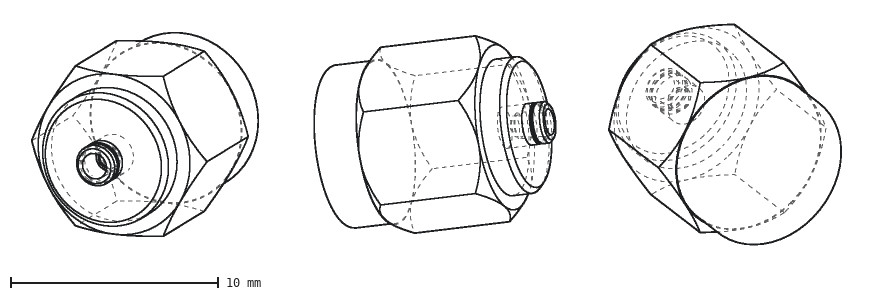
import cadquery as cq
import math


contact_radius = 1.0
contact_protrusion = 1.05
tip_chamfer = 0.14
groove_start = 0.48
groove_width = 0.17
groove_depth = 0.06
groove_floor_width = 0.06
bore_radius = 0.63
bore_depth = 1.6
pilot_radius = 0.52
pilot_depth = 0.16
drill_point_angle = 118.0

collar_radius = 3.31
collar_length = 1.27
collar_chamfer = 0.26

hex_across_flats = 8.0
hex_length = 6.11
barrel_radius = 3.95
barrel_edge_radius = 0.24
overall_length = 10.69

collar_front = contact_protrusion
hex_front = collar_front + collar_length
hex_back = hex_front + hex_length
hex_corner_diameter = hex_across_flats / math.cos(math.pi / 6)


def revolve_about_y(profile):
    """Revolve a closed XY profile, drawn as radius against Y, about the Y axis."""
    return profile.close().revolve(360, (0, 0, 0), (0, 1, 0))


def cylinder_along_y(radius, start, end):
    return cq.Workplane("XZ", origin=(0, start, 0)).circle(radius).extrude(start - end)


def make_contact():
    """Grooved socket with a stepped bore that ends in a drill point."""
    groove_end = groove_start + groove_width
    groove_slope = (groove_width - groove_floor_width) / 2
    groove_radius = contact_radius - groove_depth
    pilot_end = bore_depth + pilot_depth
    drill_apex = pilot_end + pilot_radius / math.tan(math.radians(drill_point_angle / 2))
    profile = (
        cq.Workplane("XY")
        .moveTo(bore_radius, 0)
        .lineTo(contact_radius - tip_chamfer, 0)
        .lineTo(contact_radius, tip_chamfer)
        .lineTo(contact_radius, groove_start)
        .lineTo(groove_radius, groove_start + groove_slope)
        .lineTo(groove_radius, groove_end - groove_slope)
        .lineTo(contact_radius, groove_end)
        .lineTo(contact_radius, hex_front)
        .lineTo(0, hex_front)
        .lineTo(0, drill_apex)
        .lineTo(pilot_radius, pilot_end)
        .lineTo(pilot_radius, bore_depth)
        .lineTo(bore_radius, bore_depth)
    )
    return revolve_about_y(profile)


def make_collar():
    """Ring around the contact, chamfered at its front outer edge."""
    ring = cylinder_along_y(collar_radius, collar_front, hex_front)
    ring = ring.faces("<Y").chamfer(collar_chamfer)
    return ring.cut(cylinder_along_y(contact_radius, collar_front, hex_front))


def make_nut():
    """Hexagon with 45 degree corner chamfers at both ends and a round barrel behind it."""
    hexagon = (
        cq.Workplane("XZ", origin=(0, hex_front, 0))
        .polygon(6, hex_corner_diameter)
        .extrude(-hex_length)
    )
    face_radius = hex_across_flats / 2
    corner_radius = hex_corner_diameter / 2
    corner_drop = corner_radius - face_radius
    corner_envelope = revolve_about_y(
        cq.Workplane("XY")
        .moveTo(0, hex_front)
        .lineTo(face_radius, hex_front)
        .lineTo(corner_radius, hex_front + corner_drop)
        .lineTo(corner_radius, hex_back - corner_drop)
        .lineTo(face_radius, hex_back)
        .lineTo(0, hex_back)
    )
    barrel = cylinder_along_y(barrel_radius, hex_back, overall_length)
    barrel = barrel.faces(">Y").edges().fillet(barrel_edge_radius)
    return hexagon.intersect(corner_envelope).union(barrel)


contact = make_contact()
collar = make_collar()
nut = make_nut()

result = cq.Compound.makeCompound([contact.val(), collar.val(), nut.val()])